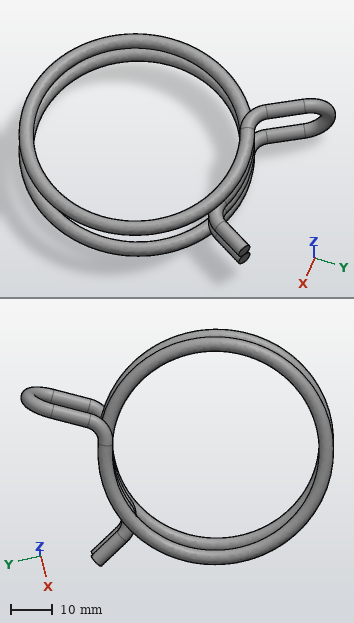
import cadquery as cq
import math


wire_diameter = 3.5
ring_outer_diameter = 56.64
overall_height = 15.3
end_gap = 0.04
bend_radius = 5.5
leg_tilt = 30.0
bend_start_angle = 20.0
loop_leg_length = 9.2
free_leg_length = 8.8

wire_radius = wire_diameter / 2
ring_radius = ring_outer_diameter / 2 - wire_radius
loop_height = overall_height / 2 - wire_radius
free_height = wire_radius + end_gap / 2
coil_rise = loop_height - free_height
coil_angle = 360 + 2 * bend_start_angle
coil_pitch = coil_rise * 360 / coil_angle
coil_start_angle = 90 - bend_start_angle
bend_angle = 90 - leg_tilt + bend_start_angle


def polar(radius, angle, height):
    """Point at a radius and an angle in degrees from +X."""
    turn = math.radians(angle)
    return cq.Vector(radius * math.cos(turn), radius * math.sin(turn), height)


def sweep_wire(edge, direction):
    """Round wire along one edge, starting square to the given direction."""
    section = cq.Workplane(cq.Plane(edge.startPoint(), normal=direction)).circle(wire_radius)
    return section.sweep(cq.Workplane(obj=cq.Wire.assembleEdges([edge])), isFrenet=True)


def coil():
    """Helical turn; its ends lie in radial planes so they meet the flat bends face to face."""
    helix = cq.Wire.makeHelix(coil_pitch, coil_rise, ring_radius)
    section = cq.Workplane("XZ", origin=(ring_radius, 0, 0)).circle(wire_radius)
    turn = section.sweep(cq.Workplane(obj=helix), isFrenet=True)
    turn = turn.rotate((0, 0, 0), (0, 0, 1), coil_start_angle)
    return turn.translate((0, 0, free_height))


def leg_path(side, height, length):
    """Bend and straight leg on one side (+1 right, -1 left): points start, middle, end and tip."""
    ring_angle = 90 - side * bend_start_angle
    centre = polar(ring_radius + bend_radius, ring_angle, height)
    toward_ring = ring_angle + 180
    start = centre + polar(bend_radius, toward_ring, 0)
    middle = centre + polar(bend_radius, toward_ring + side * bend_angle / 2, 0)
    end = centre + polar(bend_radius, toward_ring + side * bend_angle, 0)
    tip = end + polar(length, 90 - side * leg_tilt, 0)
    return start, middle, end, tip


def leg(side, height, length):
    """Bend out of the ring followed by a straight leg."""
    start, middle, end, tip = leg_path(side, height, length)
    ring_tangent = polar(1, 90 - side * (bend_start_angle + 90), 0)
    bend = sweep_wire(cq.Edge.makeThreePointArc(start, middle, end), ring_tangent)
    straight = sweep_wire(cq.Edge.makeLine(end, tip), tip - end)
    return bend.union(straight)


def end_loop():
    """Half-round loop joining the upper and lower left legs."""
    upper = leg_path(-1, loop_height, loop_leg_length)[-1]
    lower = cq.Vector(upper.x, upper.y, -loop_height)
    outward = polar(1, 90 + leg_tilt, 0)
    apex = cq.Vector(upper.x, upper.y, 0) + outward * loop_height
    return sweep_wire(cq.Edge.makeThreePointArc(upper, apex, lower), outward)


upper_half = coil()
upper_half = upper_half.union(leg(1, free_height, free_leg_length))
upper_half = upper_half.union(leg(-1, loop_height, loop_leg_length))
lower_half = upper_half.mirror("XY")

result = upper_half.union(end_loop()).union(lower_half)